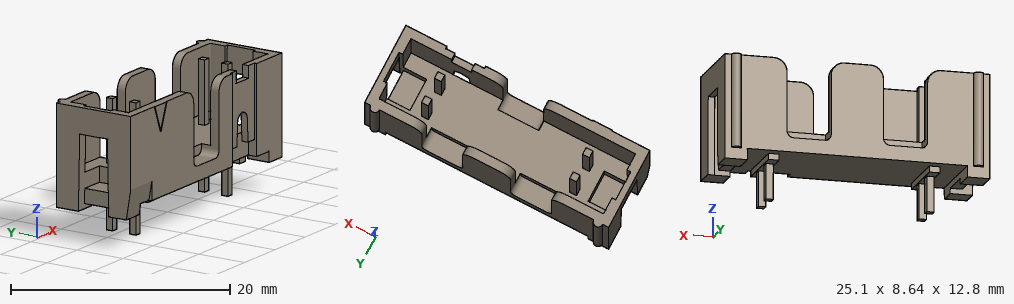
import cadquery as cq

length = 25.1
depth = 8.1
height = 9.9
side_wall = 0.9
end_wall = 1.0
cavity_corner_radius = 0.12
floor_bottom = 1.07
floor_top = 3.5
foot_length = 2.13

pin_size = 0.7
pin_x = 7.62
pin_y = 1.27
pin_top = 9.7
pin_bottom = -2.85

standoff_bottom = 0.5
standoff_width = 1.0
standoff_inset = 1.05

window_top = 7.35
window_top_width = 3.03
window_bottom_width = 3.3
window_skin = 0.62
left_groove_clearance = 0
right_groove_clearance = 0.05
latch_step_top = 1.95
latch_step_reach = 3.4

notch_width = 4.18
front_notch_bottom = 2.54
rear_notch_bottom = 2.42
notch_bottom_radius = 0.63
notch_top_radius = 1.27
notch_reach = 1.9
rear_notch_x = 4.57

key_x = 6.34
key_width = 4.0
key_depth = 0.23
key_undercut_depth = side_wall
key_undercut_top = 2.65
key_gap_width = 2.06
key_gap_depth = 1.2
key_slot_top = 5.7
key_slot_top_width = 1.6
key_slot_bottom_width = 1.85

arrow_x = -7.64
arrow_width = 2.0
arrow_length = 2.6
arrow_thickness = 0.08
rib_radius = 0.46
rib_x = length / 2 - 1.07
bevel_length = 3.5
bevel_height = 2.9
bevel_depth = 0.48

front_y = -depth / 2
back_y = depth / 2
left_x = -length / 2
window_draft = (window_bottom_width - window_top_width) / 2 / window_top


def block(x0, x1, y0, y1, z0, z1):
    """Axis-aligned box between two opposite corners."""
    return cq.Workplane("XY").box(x1 - x0, y1 - y0, z1 - z0, centered=False).translate((x0, y0, z0))


def extrude_y(profile, y0, y1):
    """Extrude a closed XZ outline from y0 to y1."""
    return profile.extrude(y0 - y1).translate((0, y0, 0))


def both_ends(solid):
    """The solid together with its mirror image on the other end."""
    return solid.union(solid.mirror("YZ"))


def make_shell():
    """Open-topped box with a raised floor and a foot strip at each end."""
    shell = block(left_x, -left_x, front_y, back_y, 0, height)
    cavity = block(
        left_x + end_wall, -left_x - end_wall, front_y + side_wall, back_y - side_wall, floor_top, height
    )
    cavity = cavity.edges("|Z and >Y").fillet(cavity_corner_radius)
    inner_foot_x = left_x + foot_length
    under_floor = block(inner_foot_x, -inner_foot_x, front_y, back_y, 0, floor_bottom)
    return shell.cut(cavity).cut(under_floor)


def tapered_opening(x0, x1, top, clearance):
    """Upright opening from x0 to x1, widened by clearance on each side and narrowing upwards."""
    half_bottom = window_bottom_width / 2 + clearance
    half_top = half_bottom - top * window_draft
    return (
        cq.Workplane("YZ")
        .polyline([(-half_bottom, 0), (half_bottom, 0), (half_top, top), (-half_top, top)])
        .close()
        .extrude(x1 - x0)
        .translate((x0, 0, 0))
    )


def latch_window(groove_clearance):
    """Window, inner groove and floor step, placed at the -X end."""
    groove_x = left_x + window_skin
    inner_x = left_x + end_wall
    foot_x = left_x + foot_length
    reach_x = left_x + latch_step_reach
    window = tapered_opening(left_x, groove_x, window_top, 0)
    groove = tapered_opening(groove_x, reach_x, height, groove_clearance)
    lower_step = block(inner_x, foot_x, front_y, back_y, standoff_bottom, latch_step_top)
    upper_step = block(foot_x, reach_x, front_y, back_y, floor_bottom, latch_step_top)
    return window.union(groove.cut(lower_step).cut(upper_step))


def finger_notch(x, y0, y1, bottom):
    """Notch with rounded lower corners and flared, rounded upper corners."""
    half = notch_width / 2
    flare = half + notch_top_radius
    shoulder = height - notch_top_radius
    low = bottom + notch_bottom_radius
    flat = half - notch_bottom_radius
    profile = (
        cq.Workplane("XZ")
        .moveTo(-flare, height)
        .radiusArc((-half, shoulder), notch_top_radius)
        .lineTo(-half, low)
        .radiusArc((-flat, bottom), -notch_bottom_radius)
        .lineTo(flat, bottom)
        .radiusArc((half, low), -notch_bottom_radius)
        .lineTo(half, shoulder)
        .radiusArc((flare, height), notch_top_radius)
        .close()
    )
    return extrude_y(profile, y0, y1).translate((x, 0, 0))


def key_recess():
    """Shallow front recess with an undercut, a top gap and an arched slot."""
    half = key_width / 2
    undercut_y = front_y + key_undercut_depth
    recess = block(-half, half, front_y, front_y + key_depth, 0, height)
    undercut = block(-half, half, front_y, undercut_y, 0, key_undercut_top)
    half_gap = key_gap_width / 2
    gap = block(-half_gap, half_gap, front_y, undercut_y, height - key_gap_depth, height)
    half_top = key_slot_top_width / 2
    half_bottom = key_slot_bottom_width / 2
    arch_z = key_slot_top - half_top
    profile = (
        cq.Workplane("XZ")
        .moveTo(-half_bottom, key_undercut_top)
        .lineTo(-half_top, arch_z)
        .threePointArc((0, key_slot_top), (half_top, arch_z))
        .lineTo(half_bottom, key_undercut_top)
        .close()
    )
    slot = extrude_y(profile, front_y, undercut_y)
    return recess.union(undercut).union(gap).union(slot).translate((key_x, 0, 0))


def corner_bevel():
    """Sloped wedge removed from the lower front edge at the -X end."""
    return (
        cq.Workplane("YZ")
        .polyline([(front_y, 0), (front_y + bevel_depth, 0), (front_y, bevel_height)])
        .close()
        .extrude(bevel_length)
        .translate((left_x, 0, 0))
    )


def pin_one_arrow():
    """Raised triangle pointing down from the top of the front wall."""
    profile = (
        cq.Workplane("XZ")
        .polyline([(-arrow_width / 2, height), (arrow_width / 2, height), (0, height - arrow_length)])
        .close()
    )
    return extrude_y(profile, front_y - arrow_thickness, front_y).translate((arrow_x, 0, 0))


def back_rib():
    """Half-round upright rib on the back wall at the -X end."""
    return (
        cq.Workplane("XY")
        .center(-rib_x, back_y)
        .circle(rib_radius)
        .extrude(height - floor_bottom)
        .translate((0, 0, floor_bottom))
        .intersect(block(left_x, 0, back_y - side_wall / 2, back_y + rib_radius, 0, height))
    )


def standoff():
    """Bar under the floor carrying the two pins at the -X end."""
    half = standoff_width / 2
    return block(
        -pin_x - half, -pin_x + half, front_y + standoff_inset, back_y - standoff_inset,
        standoff_bottom, floor_bottom,
    )


def pin(x, y):
    """Square contact pin running through the floor."""
    half = pin_size / 2
    return block(x - half, x + half, y - half, y + half, pin_bottom, pin_top)


body = make_shell()
body = body.cut(latch_window(left_groove_clearance))
body = body.cut(latch_window(right_groove_clearance).mirror("YZ"))
body = body.cut(finger_notch(0, front_y, front_y + notch_reach, front_notch_bottom))
for notch_x in (-rear_notch_x, rear_notch_x):
    body = body.cut(finger_notch(notch_x, back_y - notch_reach, back_y, rear_notch_bottom))
body = body.cut(key_recess())
body = body.cut(corner_bevel())

body = body.union(pin_one_arrow())
body = body.union(both_ends(back_rib()))
body = body.union(both_ends(standoff()))
for x in (-pin_x, pin_x):
    for y in (-pin_y, pin_y):
        body = body.union(pin(x, y))

result = body